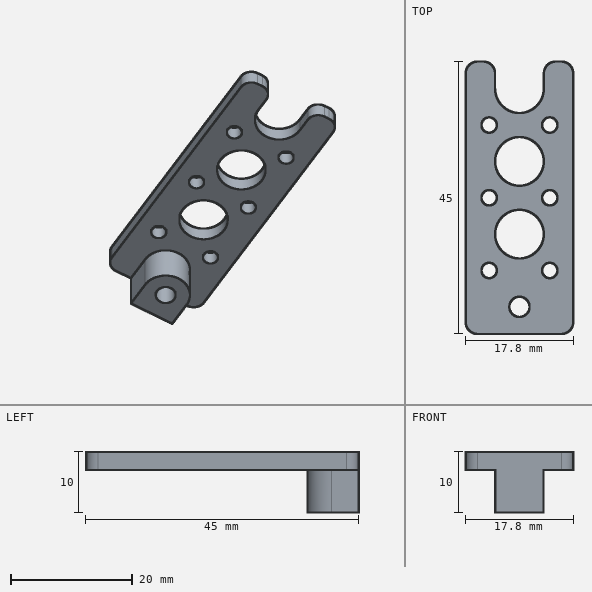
import cadquery as cq

plate_width = 17.8
plate_length = 45.0
plate_thickness = 3.0
corner_radius = 2.0

first_station = 4.5
station_pitch = 12.0
station_count = 4
large_diameter = 8.0

small_hole_diameter = 2.5
small_hole_spacing = 10.0

overall_height = 10.0
boss_width = 8.0
boss_height = overall_height - plate_thickness
screw_hole_diameter = 3.3

front_edge = -plate_length / 2
back_edge = plate_length / 2
stations = [front_edge + first_station + i * station_pitch for i in range(station_count)]
screw_y, lower_hole_y, upper_hole_y, slot_y = stations


def through_cutter(points, diameter):
    """Cylinders running the full height of the part."""
    return (
        cq.Workplane("XY")
        .workplane(offset=-boss_height)
        .pushPoints(points)
        .circle(diameter / 2)
        .extrude(overall_height)
    )


def make_plate():
    """Plate with an open, round-bottomed slot at its back end and rounded corners throughout."""
    slot_depth = back_edge - slot_y
    slot = (
        cq.Workplane("XY")
        .center(0, slot_y + slot_depth / 2)
        .rect(large_diameter, slot_depth)
        .extrude(plate_thickness)
    )
    return (
        cq.Workplane("XY")
        .rect(plate_width, plate_length)
        .extrude(plate_thickness)
        .cut(slot)
        .cut(through_cutter([(0, slot_y)], large_diameter))
        .faces("<Y or >Y")
        .edges("|Z")
        .fillet(corner_radius)
    )


def make_boss():
    """Block flush with the front edge, ending in a half round about the screw hole."""
    half_width = boss_width / 2
    return (
        cq.Workplane("XY")
        .moveTo(-half_width, front_edge)
        .lineTo(half_width, front_edge)
        .lineTo(half_width, screw_y)
        .threePointArc((0, screw_y + half_width), (-half_width, screw_y))
        .close()
        .extrude(-boss_height)
    )


small_hole_points = [
    (side * small_hole_spacing / 2, station + station_pitch / 2)
    for station in stations[:-1]
    for side in (-1, 1)
]

result = (
    make_plate()
    .union(make_boss())
    .cut(through_cutter([(0, lower_hole_y), (0, upper_hole_y)], large_diameter))
    .cut(through_cutter(small_hole_points, small_hole_diameter))
    .cut(through_cutter([(0, screw_y)], screw_hole_diameter))
)